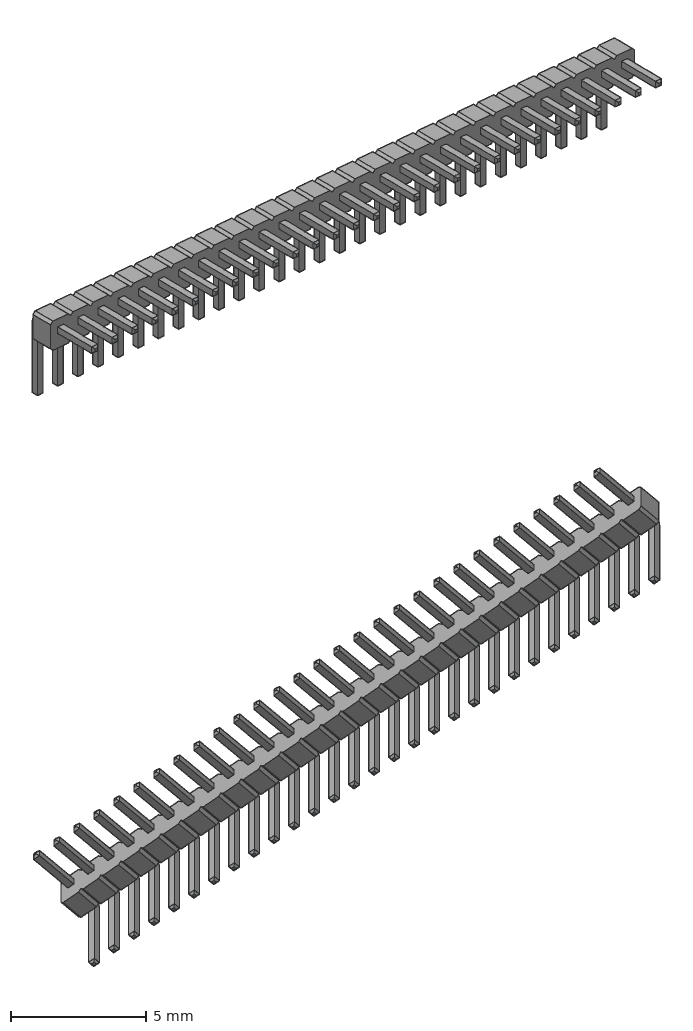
import cadquery as cq

row_length = 29.0
pin_count = 29
pitch = row_length / pin_count

housing_width = 1.0
housing_height = 1.28
housing_chamfer = 0.12

pin_size = 0.3
pin_reach_x = 3.4
overall_height = 3.95
bend_outer_radius = 0.44
tip_chamfer = 0.1
pin_top_below_housing_top = 0.35

bend_inner_radius = bend_outer_radius - pin_size
housing_left = bend_outer_radius
housing_bottom = overall_height - housing_height
pin_top = overall_height - pin_top_below_housing_top
bend_center_z = pin_top - bend_outer_radius


def housing_block(y):
    """One cell of the housing, chamfered along its four X edges."""
    return (
        cq.Workplane("XY")
        .box(housing_width, pitch, housing_height, centered=(False, True, False))
        .edges("|X")
        .chamfer(housing_chamfer)
        .translate((housing_left, y, housing_bottom))
    )


def bent_pin(y):
    """A vertical leg, a quarter bend and a horizontal leg through the housing."""
    leg = (
        cq.Workplane("XY")
        .box(pin_size, pin_size, bend_center_z, centered=(False, True, False))
        .faces("<Z")
        .chamfer(tip_chamfer)
    )
    arm = (
        cq.Workplane("XY")
        .box(pin_reach_x - housing_left, pin_size, pin_size, centered=(False, True, False))
        .faces(">X")
        .chamfer(tip_chamfer)
        .translate((housing_left, 0, pin_top - pin_size))
    )
    bend = (
        cq.Workplane("XZ")
        .moveTo(0, bend_center_z)
        .radiusArc((bend_outer_radius, pin_top), bend_outer_radius)
        .lineTo(bend_outer_radius, pin_top - pin_size)
        .radiusArc((pin_size, bend_center_z), -bend_inner_radius)
        .close()
        .extrude(pin_size / 2, both=True)
    )
    return leg.union(bend).union(arm).translate((0, y, 0))


cells = []
for index in range(pin_count):
    cell_y = (index - (pin_count - 1) / 2) * pitch
    cells.append(housing_block(cell_y).union(bent_pin(cell_y)).val())

result = cq.Workplane("XY").newObject([cells[0].fuse(*cells[1:]).clean()])